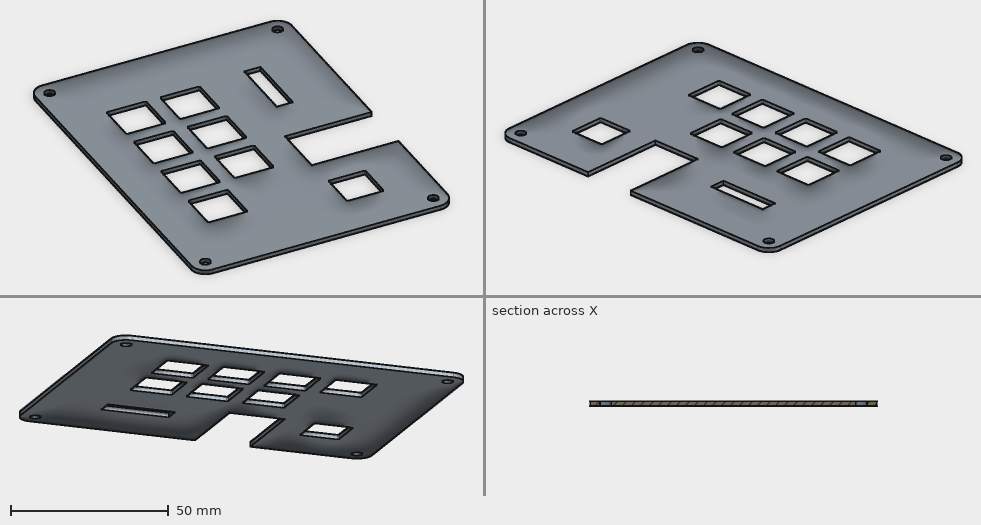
import cadquery as cq

length = 119.0
width = 91.0
thickness = 1.5
corner_radius = 5.0

hole_diameter = 3.5
hole_spacing_x = length - 2 * corner_radius
hole_spacing_y = width - 2 * corner_radius

key_size = 14.0
key_pitch = 19.0
first_key_x = -29.4
lower_row_y = -22.5
lower_row_count = 4
upper_row_count = 3
opening_radius = 0.5

knob_size = 13.1
knob_center = (37.1, 21.9)

window_length = 22.7
window_width = 5.7
window_center = (-26.3, 23.0)

notch_width = 18.7
notch_depth = 30.8
notch_center_x = 10.8


def rectangular_cutter(size_x, size_y, center):
    """Block through the full plate thickness."""
    return cq.Workplane("XY").center(*center).rect(size_x, size_y).extrude(thickness / 2, both=True)


def rounded_square_cutter(size, center):
    """Square through cutter with slightly rounded corners."""
    return rectangular_cutter(size, size, center).edges("|Z").fillet(opening_radius)


plate = cq.Workplane("XY").box(length, width, thickness).edges("|Z").fillet(corner_radius)

plate = (
    plate.faces(">Z").workplane(origin=(0, 0, 0))
    .rect(hole_spacing_x, hole_spacing_y, forConstruction=True)
    .vertices()
    .hole(hole_diameter)
)

for row, key_count in enumerate((lower_row_count, upper_row_count)):
    for column in range(key_count):
        key_center = (first_key_x + column * key_pitch, lower_row_y + row * key_pitch)
        plate = plate.cut(rounded_square_cutter(key_size, key_center))

plate = plate.cut(rounded_square_cutter(knob_size, knob_center))
plate = plate.cut(rectangular_cutter(window_length, window_width, window_center))

notch_center = (notch_center_x, (width - notch_depth) / 2)
plate = plate.cut(rectangular_cutter(notch_width, notch_depth, notch_center))

result = plate